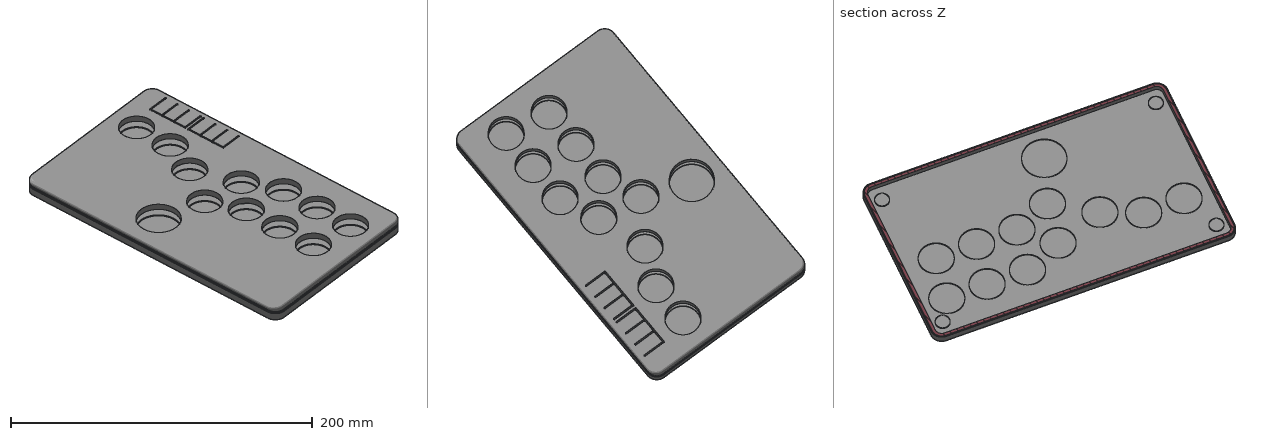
import cadquery as cq

LENGTH = 218.0
WIDTH = 130.1
HEIGHT = 11.0
CORNER_RADIUS = 7.6

LID_THICKNESS = 4.4
RIM_RADIUS = 2.2
LID_BOTTOM = HEIGHT - LID_THICKNESS

GROOVE_HEIGHT = 1.3
GROOVE_DEPTH = 0.7
WALL_THICKNESS = 3.0
FLOOR_THICKNESS = 2.0
RECESS_DEPTH = 0.9
SHOULDER = LID_BOTTOM - GROOVE_HEIGHT

BOSS_DIAMETER = 10.0
BOSS_HEIGHT = 0.9
BOSS_X = 98.3
BOSS_Y = 51.9

BUTTON_DIAMETER = 24.0
THUMB_DIAMETER = 30.0
BUTTON_PITCH = 29.0
LEFT_ROW_X = -86.8
LEFT_ROW_Y = 24.0
UPPER_ROW_X = 30.5
UPPER_ROW_Y = 35.5
LOWER_ROW_X = 24.9
LOWER_ROW_Y = 4.0
LEFT_END_BUTTON = (-31.2, 12.5)
MIDDLE_BUTTON_X = 3.7
MIDDLE_LOWER_BUTTON = (-1.7, -7.2)
BUTTONS_PER_ROW = 3
BUTTON_CENTRES = [
    (LEFT_ROW_X, LEFT_ROW_Y),
    (LEFT_ROW_X + BUTTON_PITCH, LEFT_ROW_Y),
    LEFT_END_BUTTON,
    (MIDDLE_BUTTON_X, LEFT_ROW_Y),
    MIDDLE_LOWER_BUTTON,
    *[(UPPER_ROW_X + i * BUTTON_PITCH, UPPER_ROW_Y) for i in range(BUTTONS_PER_ROW)],
    *[(LOWER_ROW_X + i * BUTTON_PITCH, LOWER_ROW_Y) for i in range(BUTTONS_PER_ROW)],
]
THUMB_CENTRE = (-13.5, -40.8)

SLIT_WIDTH = 1.0
KEY_PITCH = 10.0
KEYS_PER_GROUP = 3
SLIT_FRONT = 44.0
SLIT_BACK = 60.5
KEY_GROUP_SPACING = 33.0
FIRST_GROUP_LEFT = -92.6
KEY_GROUP_LEFT_EDGES = [FIRST_GROUP_LEFT, FIRST_GROUP_LEFT + KEY_GROUP_SPACING]


def rounded_block(inset, bottom, top):
    """The case outline, moved in by inset, between two heights."""
    return (
        cq.Workplane("XY", origin=(0, 0, bottom))
        .rect(LENGTH - 2 * inset, WIDTH - 2 * inset)
        .extrude(top - bottom)
        .edges("|Z")
        .fillet(CORNER_RADIUS - inset)
    )


def button_cylinders(bottom, top):
    """Cylinders at every round button, used to cut holes or recesses."""
    plane = cq.Workplane("XY", origin=(0, 0, bottom))
    buttons = plane.pushPoints(BUTTON_CENTRES).circle(BUTTON_DIAMETER / 2).extrude(top - bottom)
    thumb = plane.pushPoints([THUMB_CENTRE]).circle(THUMB_DIAMETER / 2).extrude(top - bottom)
    return buttons.union(thumb)


def slit(left, front, length_x, length_y):
    """A rectangular cutter through the lid, placed by its left front corner."""
    return cq.Workplane("XY", origin=(left, front, LID_BOTTOM)).box(
        length_x, length_y, LID_THICKNESS, centered=False
    )


def key_group_slits(left):
    """One cross slit along the key fronts and a slit on each side of every key."""
    span = KEYS_PER_GROUP * KEY_PITCH + SLIT_WIDTH
    comb = slit(left, SLIT_FRONT, span, SLIT_WIDTH)
    for i in range(KEYS_PER_GROUP + 1):
        comb = comb.union(slit(left + i * KEY_PITCH, SLIT_FRONT, SLIT_WIDTH, SLIT_BACK - SLIT_FRONT))
    return comb


def make_lid():
    lid = rounded_block(0, LID_BOTTOM, HEIGHT).faces(">Z").edges().fillet(RIM_RADIUS)
    lid = lid.cut(button_cylinders(LID_BOTTOM, HEIGHT))
    for left in KEY_GROUP_LEFT_EDGES:
        lid = lid.cut(key_group_slits(left))
    return lid


def make_base():
    base = rounded_block(0, 0, SHOULDER).union(rounded_block(GROOVE_DEPTH, SHOULDER, LID_BOTTOM))
    base = base.cut(rounded_block(WALL_THICKNESS, FLOOR_THICKNESS, LID_BOTTOM))
    base = base.cut(button_cylinders(FLOOR_THICKNESS - RECESS_DEPTH, FLOOR_THICKNESS))
    bosses = (
        cq.Workplane("XY", origin=(0, 0, FLOOR_THICKNESS))
        .rect(2 * BOSS_X, 2 * BOSS_Y, forConstruction=True)
        .vertices()
        .circle(BOSS_DIAMETER / 2)
        .extrude(BOSS_HEIGHT)
    )
    return base.union(bosses)


lid = make_lid()
base = make_base()
result = cq.Compound.makeCompound([lid.val(), base.val()])